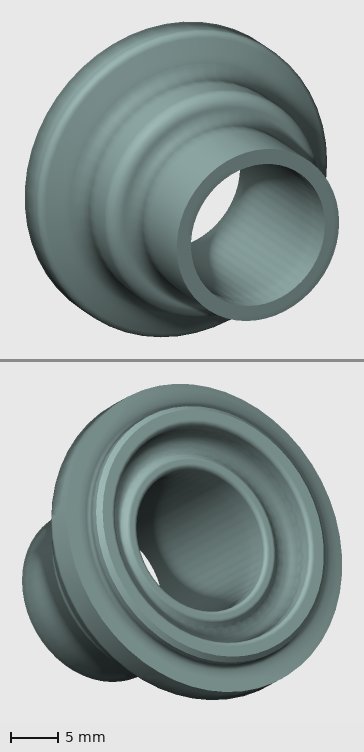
import cadquery as cq
import math

total_length = 23.5
bore_radius = 7.85
neck_radius = 9.52
collar_radius = 25.0 / 2
flange_radius = 17.0
pilot_radius = 28.3 / 2

pilot_chamfer = 0.5
pilot_fillet = 0.4
flange_front = 1.85
flange_edge_start = 4.73
flange_edge_radius = 0.92
flange_back_angle = math.radians(20)

collar_start = 8.33
collar_end = 11.95
collar_root_radius = 1.97
neck_blend_radius = 1.6

mouth_radius = 12.48
mouth_fillet = 0.5
groove_outer_radius = mouth_radius - mouth_fillet
groove_depth = 3.15
lip_front = 2.35
lip_flat_radius = 8.8
lip_outer_fillet = 0.48
lip_outer_turn = math.radians(50)
lip_bore_fillet = 0.48


def arc_point(center, radius, angle):
    """Point (x, r) on a circle, with the angle measured from +X towards +r."""
    return (center[0] + radius * math.cos(angle), center[1] + radius * math.sin(angle))


def add_arc(profile, center, radius, start_angle, end_angle):
    """Continue the profile along an arc from its present end point."""
    middle = arc_point(center, radius, (start_angle + end_angle) / 2)
    return profile.threePointArc(middle, arc_point(center, radius, end_angle))


quarter = math.pi / 2

profile = cq.Workplane("XY").moveTo(0, mouth_radius)
profile = profile.lineTo(0, pilot_radius - pilot_chamfer).lineTo(pilot_chamfer, pilot_radius)
profile = profile.lineTo(flange_front - pilot_fillet, pilot_radius)
pilot_fillet_center = (flange_front - pilot_fillet, pilot_radius + pilot_fillet)
profile = add_arc(profile, pilot_fillet_center, pilot_fillet, -quarter, 0)
profile = profile.lineTo(flange_front, flange_radius).lineTo(flange_edge_start, flange_radius)

flange_edge_center = (flange_edge_start, flange_radius - flange_edge_radius)
profile = add_arc(profile, flange_edge_center, flange_edge_radius, quarter, flange_back_angle)

collar_root_center = (collar_start, collar_radius + collar_root_radius)
collar_root_angle = math.pi + flange_back_angle
profile = profile.lineTo(*arc_point(collar_root_center, collar_root_radius, collar_root_angle))
profile = add_arc(profile, collar_root_center, collar_root_radius, collar_root_angle, 3 * quarter)
profile = profile.lineTo(collar_end, collar_radius)

collar_edge_center = (collar_end, collar_radius - neck_blend_radius)
center_rise = neck_radius + neck_blend_radius - collar_edge_center[1]
blend_angle = math.asin(center_rise / (2 * neck_blend_radius))
center_run = 2 * neck_blend_radius * math.cos(blend_angle)
neck_root_center = (collar_end + center_run, neck_radius + neck_blend_radius)
profile = add_arc(profile, collar_edge_center, neck_blend_radius, quarter, blend_angle)
profile = add_arc(profile, neck_root_center, neck_blend_radius, math.pi + blend_angle, 3 * quarter)
profile = profile.lineTo(total_length, neck_radius)

profile = profile.lineTo(total_length, bore_radius).lineTo(lip_front + lip_bore_fillet, bore_radius)
lip_bore_center = (lip_front + lip_bore_fillet, bore_radius + lip_bore_fillet)
profile = add_arc(profile, lip_bore_center, lip_bore_fillet, -quarter, -2 * quarter)
profile = profile.lineTo(lip_front, lip_flat_radius)
lip_outer_center = (lip_front + lip_outer_fillet, lip_flat_radius)
lip_end_angle = math.pi - lip_outer_turn
profile = add_arc(profile, lip_outer_center, lip_outer_fillet, math.pi, lip_end_angle)

groove_start = arc_point(lip_outer_center, lip_outer_fillet, lip_end_angle)
groove_start_tangent = (math.sin(lip_outer_turn), math.cos(lip_outer_turn))
groove_floor = (groove_depth, (groove_start[1] + groove_outer_radius) / 2)
groove_end = (mouth_fillet, groove_outer_radius)
profile = profile.spline(
    [groove_floor, groove_end],
    tangents=[groove_start_tangent, (-1, 0)],
    includeCurrent=True,
)
mouth_center = (mouth_fillet, mouth_radius)
profile = add_arc(profile, mouth_center, mouth_fillet, -quarter, -2 * quarter)

result = profile.close().revolve(360, (0, 0, 0), (1, 0, 0))